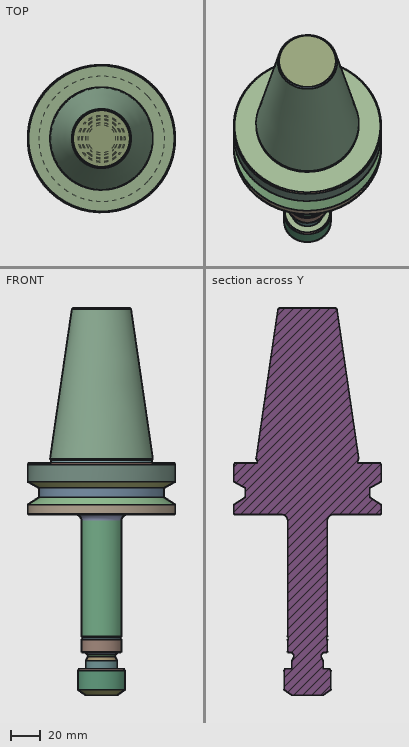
import cadquery as cq
import math


overall_length = 261.8
taper_length = 101.8
gauge_radius = 34.8
taper_ratio = 7 / 48
taper_tip_chamfer = 1.0
relief_radius = 34.3
relief_length = 3.0
relief_bevel = 1.0

flange_radius = 50.0
flange_thickness = 35.0
flange_top_bevel_height = 1.3
flange_bevel = 0.8
groove_radius = 42.5
groove_top_depth = 12.8
groove_upper_slope = 4.2
groove_floor_width = 6.3
groove_lower_slope = 5.0

shank_radius = 13.5
shank_fillet = 4.0
shank_end_height = 39.8
mark_depth = 0.5
mark_width = 1.8
mark_bevel = 0.5
collar_height = 28.8
collar_chamfer = 0.8

waist_radius = 9.5
waist_top_radius = 11.0
waist_cone = 1.5
waist_height = 26.0
neck_radius = 10.7
neck_cone = 2.5

nut_radius = 16.0
nut_height = 18.0
nut_top_chamfer_height = 1.5
nut_top_chamfer = 0.8
nut_nose_height = 3.7
nut_nose_radius = 10.7

nut_bottom_z = taper_length - overall_length
flange_top_z = -relief_length
flange_bottom_z = flange_top_z - flange_thickness
groove_top_z = flange_top_z - groove_top_depth
groove_floor_top_z = groove_top_z - groove_upper_slope
groove_floor_bottom_z = groove_floor_top_z - groove_floor_width
groove_bottom_z = groove_floor_bottom_z - groove_lower_slope
mark_top_z = nut_bottom_z + shank_end_height
mark_bottom_z = mark_top_z - mark_width
collar_bottom_z = nut_bottom_z + collar_height
waist_bottom_z = nut_bottom_z + waist_height
nut_top_z = nut_bottom_z + nut_height

tip_chamfer_z = taper_length - taper_tip_chamfer
tip_radius = gauge_radius - taper_ratio * tip_chamfer_z

fillet_axis_offset = shank_fillet * (1 - math.sqrt(0.5))
fillet_start = (shank_radius + shank_fillet, flange_bottom_z)
fillet_middle = (shank_radius + fillet_axis_offset, flange_bottom_z - fillet_axis_offset)
fillet_end = (shank_radius, flange_bottom_z - shank_fillet)

taper_points = [
    (tip_radius - taper_tip_chamfer, taper_length),
    (tip_radius, tip_chamfer_z),
    (gauge_radius, 0),
    (relief_radius, -relief_bevel),
    (relief_radius, flange_top_z),
]

flange_points = [
    (flange_radius - flange_bevel, flange_top_z),
    (flange_radius, flange_top_z - flange_top_bevel_height),
    (flange_radius, groove_top_z),
    (groove_radius, groove_floor_top_z),
    (groove_radius, groove_floor_bottom_z),
    (flange_radius, groove_bottom_z),
    (flange_radius, flange_bottom_z + flange_bevel),
    (flange_radius - flange_bevel, flange_bottom_z),
]

shank_end_points = [
    (shank_radius, mark_top_z),
    (shank_radius - mark_depth, mark_top_z - mark_bevel),
    (shank_radius - mark_depth, mark_bottom_z),
    (shank_radius, mark_bottom_z - mark_bevel),
    (shank_radius, collar_bottom_z + collar_chamfer),
    (shank_radius - collar_chamfer, collar_bottom_z),
]

neck_points = [
    (waist_top_radius, collar_bottom_z),
    (waist_radius, collar_bottom_z - waist_cone),
    (waist_radius, waist_bottom_z),
    (neck_radius, waist_bottom_z - neck_cone),
    (neck_radius, nut_top_z),
]

nut_points = [
    (nut_radius - nut_top_chamfer, nut_top_z),
    (nut_radius, nut_top_z - nut_top_chamfer_height),
    (nut_radius, nut_bottom_z + nut_nose_height),
    (nut_nose_radius, nut_bottom_z),
    (0, nut_bottom_z),
]

profile = cq.Workplane("XZ").moveTo(0, taper_length)
for point in taper_points + flange_points + [fillet_start]:
    profile = profile.lineTo(*point)
profile = profile.threePointArc(fillet_middle, fillet_end)
for point in shank_end_points + neck_points + nut_points:
    profile = profile.lineTo(*point)

result = profile.close().revolve(360, (0, 0, 0), (0, 1, 0))